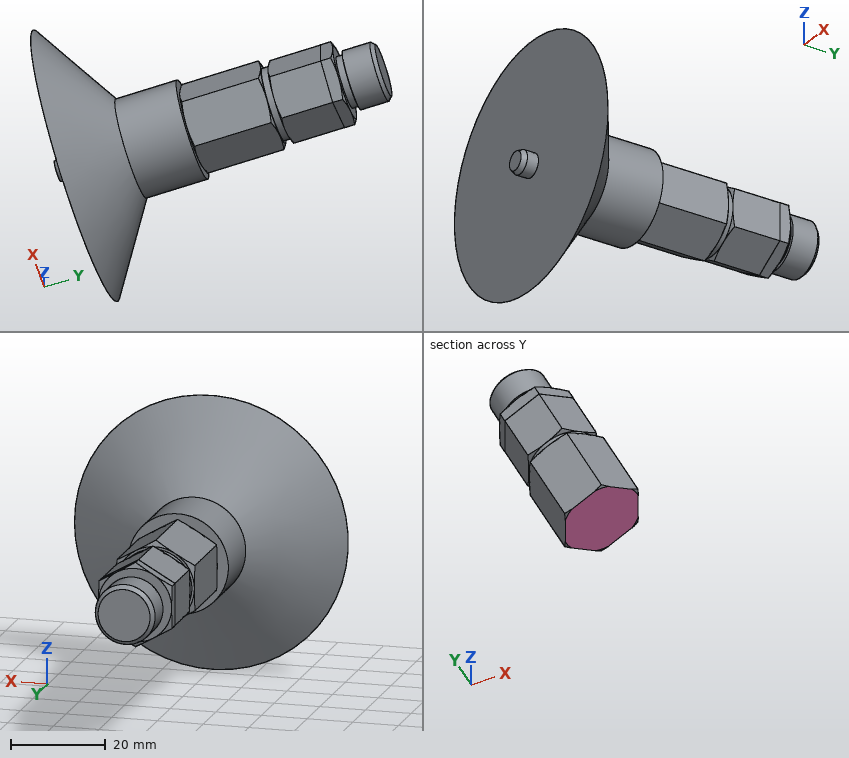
import cadquery as cq
import math

cup_diameter = 60.0
sleeve_diameter = 22.0
collar_diameter = 16.0
neck_diameter = 11.45
thread_diameter = 13.1
pin_diameter = 5.65

total_length = 72.5
pin_length = 4.0
cup_end = 12.4
sleeve_end = 26.0
large_hex_end = 44.0
small_hex_start = 45.45
washer_start = 57.2
washer_end = 59.9
neck_end = 61.5
thread_end = total_length - pin_length

large_hex_width = 17.1
small_hex_width = 15.95
washer_width = collar_diameter

hex_chamfer_angle = 20.0
thread_chamfer = 0.9
pin_chamfer_length = 1.2
pin_chamfer_depth = 0.6


def section_at(y):
    """Sketch plane across the axis; extrusion from it goes toward +Y."""
    return cq.Workplane("XZ", origin=(0, y, 0))


def cylinder(diameter, start, end):
    return section_at(start).circle(diameter / 2).extrude(start - end)


def hexagon(width, start, end):
    corner_diameter = width / math.cos(math.pi / 6)
    return section_at(start).polygon(6, corner_diameter).extrude(start - end).rotate(
        (0, 0, 0), (0, 1, 0), 30
    )


def revolve_profile(points):
    """Revolve a profile of (radius, Y) points about the Y axis."""
    return cq.Workplane("XY").polyline(points).close().revolve(360, (0, 0), (0, 1))


def trim_corners(body, width, start, end):
    """Cut the hexagon corners back to the inscribed circle at both ends with a cone."""
    flat_radius = width / 2
    corner_radius = flat_radius / math.cos(math.pi / 6)
    depth = corner_radius - flat_radius
    length = depth * math.tan(math.radians(hex_chamfer_angle))
    envelope = revolve_profile(
        [
            (0, start),
            (flat_radius, start),
            (flat_radius + depth, start + length),
            (flat_radius + depth, end - length),
            (flat_radius, end),
            (0, end),
        ]
    )
    return body.intersect(envelope)


cup = revolve_profile([(0, 0), (cup_diameter / 2, 0), (sleeve_diameter / 2, cup_end), (0, cup_end)])
sleeve = cylinder(sleeve_diameter, cup_end, sleeve_end)

large_hex = trim_corners(
    hexagon(large_hex_width, sleeve_end, large_hex_end), large_hex_width, sleeve_end, large_hex_end
)
collar = cylinder(collar_diameter, large_hex_end, small_hex_start)
stepped_hex = hexagon(small_hex_width, small_hex_start, washer_start).union(
    hexagon(washer_width, washer_start, washer_end)
)
small_hex = trim_corners(stepped_hex, washer_width, small_hex_start, washer_end)

neck = cylinder(neck_diameter, washer_end, neck_end)
thread = cylinder(thread_diameter, neck_end, thread_end).faces(">Y").chamfer(thread_chamfer)

pin = revolve_profile(
    [
        (0, 0),
        (pin_diameter / 2, 0),
        (pin_diameter / 2, pin_chamfer_length - pin_length),
        (pin_diameter / 2 - pin_chamfer_depth, -pin_length),
        (0, -pin_length),
    ]
)

result = cup
for section in (sleeve, large_hex, collar, small_hex, neck, thread, pin):
    result = result.union(section)